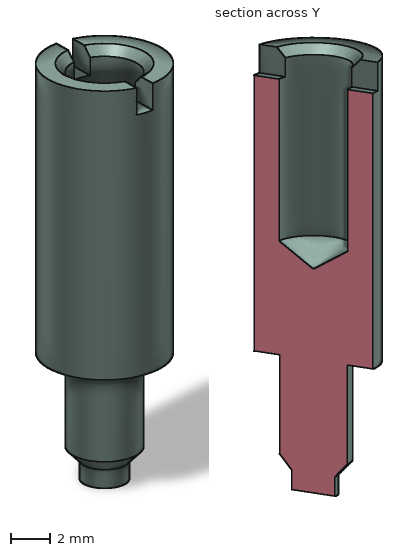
import cadquery as cq
import math

total_length = 23.0
body_diameter = 7.0
body_length = 16.0
stem_diameter = 4.0
tip_diameter = 2.55
tip_length = 1.04
cone_length = 0.75
bore_diameter = 4.0
bore_depth = 10.0
drill_point_angle = 118.0
mouth_diameter = 5.0
slot_width = 1.01
slot_depth = 1.5

body_radius = body_diameter / 2
stem_radius = stem_diameter / 2
tip_radius = tip_diameter / 2
bore_radius = bore_diameter / 2
mouth_radius = mouth_diameter / 2
shoulder_z = total_length - body_length
cone_top_z = tip_length + cone_length
bore_floor_z = total_length - bore_depth
mouth_depth = mouth_radius - bore_radius
drill_point_depth = bore_radius / math.tan(math.radians(drill_point_angle / 2))


def revolve_profile(points):
    """Revolve a closed (radius, height) outline around the Z axis."""
    return cq.Workplane("XZ").polyline(points).close().revolve(360, (0, 0), (0, 1))


pin = revolve_profile([
    (0, 0),
    (tip_radius, 0),
    (tip_radius, tip_length),
    (stem_radius, cone_top_z),
    (stem_radius, shoulder_z),
    (body_radius, shoulder_z),
    (body_radius, total_length),
    (0, total_length),
])

bore = revolve_profile([
    (0, bore_floor_z - drill_point_depth),
    (bore_radius, bore_floor_z),
    (bore_radius, total_length - mouth_depth),
    (mouth_radius, total_length),
    (0, total_length),
])

slot = (
    cq.Workplane("XY")
    .workplane(offset=total_length - slot_depth)
    .rect(body_diameter, slot_width)
    .extrude(slot_depth)
)

result = pin.cut(bore).cut(slot)